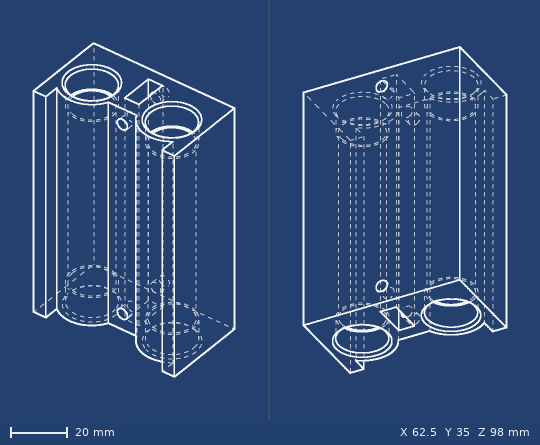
import cadquery as cq

WIDTH = 62.5
DEPTH = 35.0
HEIGHT = 98.0

LEG_WIDTH = 5.5
WEB_FACE_Y = 10.75
HOUSING_RADIUS = 12.75

BORE_SPACING = 35.5
BORE_Y = 16.25
BORE_DIAMETER = 17.0
SEAT_DIAMETER = 18.8
SEAT_DEPTH = 10.0
MOUTH_DIAMETER = 21.0
MOUTH_CHAMFER = (MOUTH_DIAMETER - SEAT_DIAMETER) / 2

SLOT_WIDTH = 6.25
SLOT_BACK_WALL = 5.0

SCREW_DIAMETER = 4.5
SCREW_END_DISTANCE = 7.0

BORE_CENTRES = [(-BORE_SPACING / 2, BORE_Y), (BORE_SPACING / 2, BORE_Y)]


def box_between(x_size, y_start, y_end):
    """Full-height box centred in X between two Y planes."""
    return (
        cq.Workplane("XY")
        .center(0, (y_start + y_end) / 2)
        .rect(x_size, y_end - y_start)
        .extrude(HEIGHT)
    )


def make_body():
    """Block relieved between its legs, with the bore housings standing in the relief."""
    block = box_between(WIDTH, 0, DEPTH)
    relief = box_between(WIDTH - 2 * LEG_WIDTH, 0, WEB_FACE_Y)
    housings = (
        cq.Workplane("XY")
        .pushPoints(BORE_CENTRES)
        .circle(HOUSING_RADIUS)
        .extrude(HEIGHT)
        .intersect(block)
    )
    return block.cut(relief).union(housings)


def make_bore_end(x, y):
    """Bearing seat with its conical mouth, sunk from the top face."""
    seat = (
        cq.Workplane("XY", origin=(x, y, HEIGHT - SEAT_DEPTH))
        .circle(SEAT_DIAMETER / 2)
        .extrude(SEAT_DEPTH)
    )
    mouth = cq.Solid.makeCone(
        SEAT_DIAMETER / 2,
        MOUTH_DIAMETER / 2,
        MOUTH_CHAMFER,
        pnt=cq.Vector(x, y, HEIGHT - MOUTH_CHAMFER),
    )
    return seat.union(cq.Workplane(obj=mouth))


def cut_bores(body):
    """Through bores with a wider seat at the top, mirrored at the bottom."""
    through = cq.Workplane("XY").pushPoints(BORE_CENTRES).circle(BORE_DIAMETER / 2).extrude(HEIGHT)
    body = body.cut(through)
    for x, y in BORE_CENTRES:
        top_end = make_bore_end(x, y)
        bottom_end = top_end.mirror("XY", (0, 0, HEIGHT / 2))
        body = body.cut(top_end).cut(bottom_end)
    return body


def cut_slot(body):
    """Slot through the full height, starting level with the bore axes."""
    return body.cut(box_between(SLOT_WIDTH, BORE_Y, DEPTH - SLOT_BACK_WALL))


def cut_screw_holes(body):
    """One hole near each end, running front to back through the web."""
    holes = (
        cq.Workplane("XZ")
        .pushPoints([(0, SCREW_END_DISTANCE), (0, HEIGHT - SCREW_END_DISTANCE)])
        .circle(SCREW_DIAMETER / 2)
        .extrude(-DEPTH)
    )
    return body.cut(holes)


result = cut_screw_holes(cut_slot(cut_bores(make_body()))).solids()